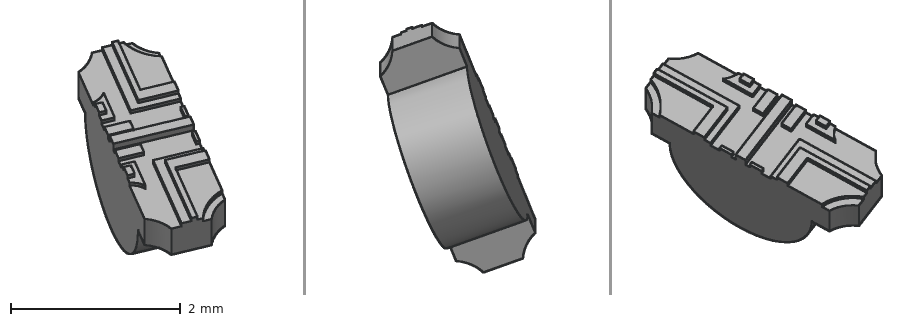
import cadquery as cq
import math

length = 3.0
width = length / 3
half_length = length / 2
half_width = width / 2
lens_radius = length / 3
base_thickness = 0.45
layer_thickness = length / 60

corner_setback = length / 12
scallop_radius = length / 6
layer_scallop_radius = 0.6

contact_inner_x = 0.423
contact_front_y = -0.123
ridge_inner_x = 0.51
ridge_outer_x = 0.663
ridge_front_y = 0.0
ridge_back_y = 0.075

bar_width = 0.138
front_pad_inner_x = 0.13
front_pad_outer_x = 0.267
front_pad_back_y = -0.183
back_pad_inner_x = 0.13
back_pad_outer_x = 0.295
back_pad_depth = 0.045

curved_pad_inner_x = 0.375
curved_pad_tip_x = 0.792
curved_pad_foot_x = 0.685
curved_pad_back_y = -0.335
curved_pad_radius = 0.27
block_inner_x = 0.465
block_outer_x = 0.61
block_back_y = -0.41

base_top = base_thickness
top_height = base_thickness + 2 * layer_thickness

half_chord = corner_setback / math.sqrt(2)
centre_offset = math.sqrt(scallop_radius**2 - half_chord**2) / math.sqrt(2) - corner_setback / 2
scallop_x = half_length + centre_offset
scallop_y = half_width + centre_offset


def slab(x0, x1, y0, y1, z0, z1):
    """Box between pairs of opposite faces."""
    return cq.Workplane("XY").box(x1 - x0, y1 - y0, z1 - z0, centered=False).translate((x0, y0, z0))


def scallop(y_centre, radius, z0, z1):
    """Cylinder that hollows a corner on the +X side."""
    return cq.Workplane("XY", origin=(scallop_x, y_centre, z0)).circle(radius).extrude(z1 - z0)


def lens():
    """Half-cylinder under the board."""
    return (
        cq.Workplane("XZ", origin=(0, half_width, 0))
        .moveTo(-lens_radius, 0)
        .threePointArc((0, -lens_radius), (lens_radius, 0))
        .close()
        .extrude(width)
    )


def half_board():
    """+X half of the board base, with both corners scalloped."""
    board = slab(0, half_length, -half_width, half_width, 0, base_top)
    for y_centre in (-scallop_y, scallop_y):
        board = board.cut(scallop(y_centre, scallop_radius, 0, base_top))
    return board


def contact():
    """Back corner contact with a raised L-shaped ridge."""
    ridge_base = base_top + layer_thickness
    sheet = slab(contact_inner_x, half_length, contact_front_y, half_width, base_top, ridge_base)
    sheet = sheet.cut(scallop(scallop_y, layer_scallop_radius, base_top, top_height))
    side_arm = slab(ridge_inner_x, ridge_outer_x, ridge_front_y, half_width, ridge_base, top_height)
    front_arm = slab(ridge_inner_x, half_length, ridge_front_y, ridge_back_y, ridge_base, top_height)
    return sheet.union(side_arm).union(front_arm)


def curved_pad():
    """Front pad with a concave outer end and a raised block."""
    pad = (
        cq.Workplane("XY", origin=(0, 0, base_top))
        .moveTo(curved_pad_inner_x, -half_width)
        .lineTo(curved_pad_foot_x, -half_width)
        .radiusArc((curved_pad_tip_x, curved_pad_back_y), curved_pad_radius)
        .lineTo(curved_pad_inner_x, curved_pad_back_y)
        .close()
        .extrude(layer_thickness)
    )
    block = slab(block_inner_x, block_outer_x, -half_width, block_back_y, base_top, top_height)
    return pad.union(block)


def straight_pads():
    """Low rectangular pads at the front and back edges."""
    pad_top = base_top + layer_thickness
    front = slab(front_pad_inner_x, front_pad_outer_x, -half_width, front_pad_back_y, base_top, pad_top)
    back_start = half_width - back_pad_depth
    back = slab(back_pad_inner_x, back_pad_outer_x, back_start, half_width, base_top, pad_top)
    return front.union(back)


half = half_board().union(contact()).union(curved_pad()).union(straight_pads())
bar = slab(-bar_width / 2, bar_width / 2, -half_width, half_width, base_top, top_height)
result = half.union(half.mirror("YZ")).union(bar).union(lens())